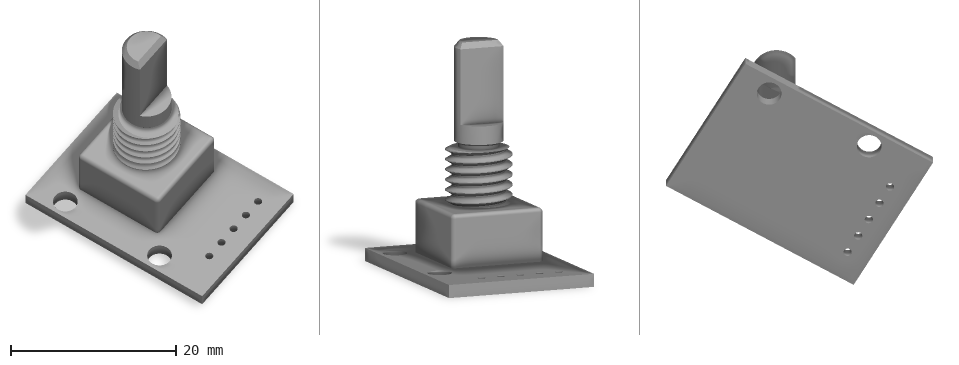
import cadquery as cq
import math


board_length = 26.3
board_width = 19.0
board_thickness = 1.6
board_left = -10.52
board_front = -10.52
mount_hole_diameter = 3.0
mount_hole_spacing = 14.02
mount_hole_left_inset = 4.5
mount_hole_front_inset = 2.0
pin_hole_diameter = 1.0
pin_hole_pitch = 2.55
pin_hole_count = 5
pin_row_right_inset = 2.85

housing_side = 11.98
housing_height = 6.6
housing_fillet = 0.5

bushing_height = 7.0
thread_turns = 5.6
thread_pitch = bushing_height / thread_turns
thread_root_radius = 3.3
thread_crest_flat = 0.1
thread_root_flat = 0.23
thread_crest_rise = 0.05
thread_half_angle = math.radians(30)
thread_overlap = 0.15

total_height = 28.2
shaft_diameter = 6.0
neck_diameter = 5.0
neck_height = 0.48
lower_chamfer_diameter = 5.2
lower_chamfer_height = 0.23
flat_height = 3.0
flat_offset = 1.02
tip_chamfer_width = 0.6
tip_chamfer_height = 0.7

housing_base = board_thickness
bushing_base = housing_base + housing_height
shaft_base = bushing_base + bushing_height
shaft_length = total_height - shaft_base


def make_board():
    """Flat board with two mounting holes and a row of pin holes."""
    mount_left = board_left + mount_hole_left_inset
    mount_y = board_front + mount_hole_front_inset
    mount_points = [(mount_left + i * mount_hole_spacing, mount_y) for i in range(2)]

    pin_x = board_left + board_length - pin_row_right_inset
    pin_start = -pin_hole_pitch * (pin_hole_count - 1) / 2
    pin_points = [(pin_x, pin_start + i * pin_hole_pitch) for i in range(pin_hole_count)]

    slab = cq.Workplane("XY").box(board_length, board_width, board_thickness, centered=False)
    slab = slab.translate((board_left, board_front, 0))
    mount_holes = cq.Workplane("XY").pushPoints(mount_points).circle(mount_hole_diameter / 2)
    pin_holes = cq.Workplane("XY").pushPoints(pin_points).circle(pin_hole_diameter / 2)
    return slab.cut(mount_holes.extrude(board_thickness)).cut(pin_holes.extrude(board_thickness))


def make_housing():
    """Square block, rounded on its upright and top edges."""
    block = cq.Workplane("XY").workplane(offset=housing_base)
    block = block.box(housing_side, housing_side, housing_height, centered=(True, True, False))
    return block.edges("|Z or >Z").fillet(housing_fillet)


def make_thread_ridge():
    """Right-handed ridge with a narrow flat crest, longer than the bushing at both ends."""
    base_half_width = (thread_pitch - thread_root_flat) / 2
    crest_half_width = thread_crest_flat / 2
    ridge_depth = (base_half_width - crest_half_width) / math.tan(thread_half_angle)
    crest_radius = thread_root_radius + ridge_depth
    inner_radius = thread_root_radius - thread_overlap
    inner_half_width = base_half_width + thread_overlap * math.tan(thread_half_angle)

    ridge_turns = math.ceil(thread_turns) + 2
    start = shaft_base + thread_crest_rise + thread_pitch - ridge_turns * thread_pitch
    path = cq.Wire.makeHelix(thread_pitch, ridge_turns * thread_pitch, thread_root_radius)
    profile = cq.Workplane("XZ").polyline(
        [
            (inner_radius, -inner_half_width),
            (crest_radius, -crest_half_width),
            (crest_radius, crest_half_width),
            (inner_radius, inner_half_width),
        ]
    ).close()
    ridge = profile.sweep(cq.Workplane(obj=path), isFrenet=True)
    return ridge.translate((0, 0, start))


def make_bushing():
    """Threaded bushing, its thread cut off flat at the top and bottom faces."""
    core = cq.Workplane("XY").workplane(offset=bushing_base)
    core = core.circle(thread_root_radius).extrude(bushing_height)
    envelope = cq.Workplane("XY").workplane(offset=bushing_base)
    envelope = envelope.circle(2 * thread_root_radius).extrude(bushing_height)
    return core.union(make_thread_ridge().intersect(envelope))


def make_shaft():
    """Shaft with a neck at its foot, and a flat and a chamfered tip above."""
    shaft_radius = shaft_diameter / 2
    neck_radius = neck_diameter / 2
    barrel_base = neck_height + lower_chamfer_height
    barrel = (
        cq.Workplane("XZ")
        .moveTo(0, 0)
        .lineTo(neck_radius, 0)
        .lineTo(neck_radius, neck_height)
        .lineTo(lower_chamfer_diameter / 2, neck_height)
        .lineTo(shaft_radius, barrel_base)
        .lineTo(shaft_radius, shaft_length)
        .lineTo(0, shaft_length)
        .close()
        .revolve(360, (0, 0, 0), (0, 1, 0))
    )
    flat_cut = cq.Workplane("XY").box(
        shaft_radius, shaft_diameter, shaft_length - flat_height, centered=(False, True, False)
    )
    barrel = barrel.cut(flat_cut.translate((flat_offset, 0, flat_height)))
    barrel = barrel.faces(">Z").chamfer(tip_chamfer_height, tip_chamfer_width)
    return barrel.translate((0, 0, shaft_base))


board = make_board()
housing = make_housing()
bushing = make_bushing()
shaft = make_shaft()

result = cq.Compound.makeCompound([board.val(), housing.val(), bushing.val(), shaft.val()])